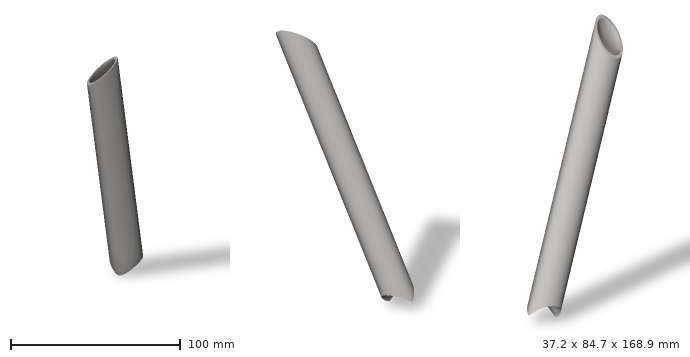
import cadquery as cq

outer_radius = 10.0
wall = 1.5
run_x = 17.2
run_y = -65.9
run_z = 157.5

saddle_clearance = 0.2
saddle_radius = outer_radius + saddle_clearance
saddle_shift = 0.14
saddle_lean_y = -0.07

mitre_allowance = 3 * outer_radius
cutter_size = 10 * outer_radius

tube_run = cq.Vector(run_x, run_y, run_z)
tube_direction = tube_run.normalized()

saddle_lean_z = -(run_x + saddle_lean_y * run_y) / run_z
saddle_direction = cq.Vector(1, saddle_lean_y, saddle_lean_z)


def make_tube():
    base = cq.Plane(origin=(0, 0, 0), xDir=saddle_direction, normal=tube_direction)
    length = tube_run.Length + mitre_allowance
    return cq.Workplane(base).circle(outer_radius).circle(outer_radius - wall).extrude(length)


def make_saddle_cutter():
    sideways = saddle_direction.cross(tube_direction).normalized()
    cross_plane = cq.Plane(origin=sideways * saddle_shift, xDir=tube_direction, normal=saddle_direction)
    return cq.Workplane(cross_plane).circle(saddle_radius).extrude(2 * outer_radius, both=True)


def make_mitre_cutter():
    mitre_normal = tube_direction - cq.Vector(1, 0, 0)
    mitre_plane = cq.Plane(origin=tube_run, normal=mitre_normal)
    return cq.Workplane(mitre_plane).rect(cutter_size, cutter_size).extrude(cutter_size)


result = make_tube().cut(make_saddle_cutter()).cut(make_mitre_cutter())